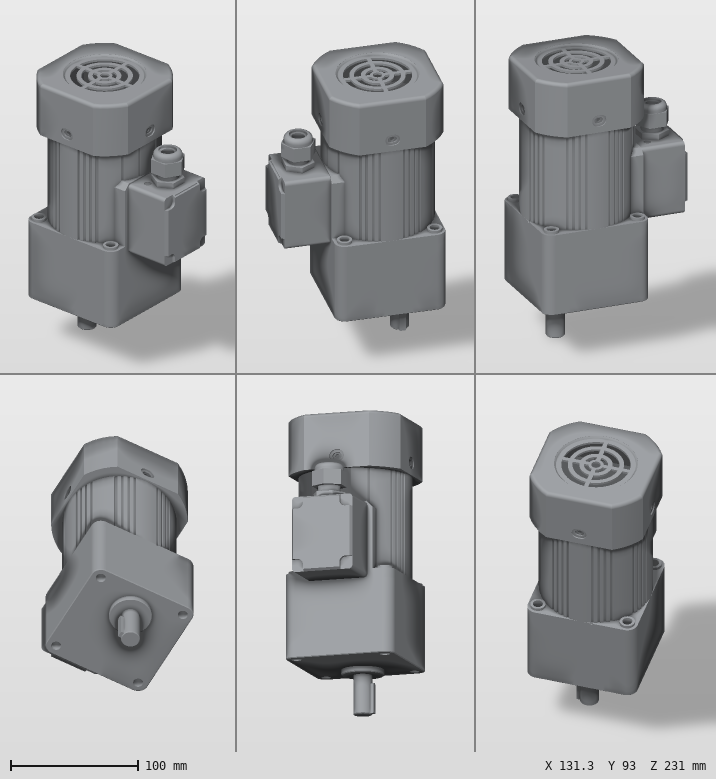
import cadquery as cq
import math


gearbox_top = 60.0
flange_top = 68.0
cover_bottom = 150.0
cover_top = 195.0

frame_width = 90.0
frame_corner = 8.3
mounting_edge = 0.7
bolt_offset = frame_width / 2 - frame_corner
bolt_hole_diameter = 7.9
collar_diameter = 12.0
collar_height = 2.3
motor_radius = frame_width / 2
groove_width = 2.0
groove_depth = 1.2
groove_clusters = 8
grooves_per_cluster = 4
groove_step = 6.4
plain_angles = (16, 30)
drain_y = -9.7
drain_radius = 1.2
drain_length = 1.5
saddle_half_width = 29.0
saddle_top = 122.2
saddle_chamfer = 4.9

shaft_x = -18.0
boss_diameter = 34.0
boss_height = 4.5
shaft_diameter = 15.0
shaft_end = -36.0
shaft_chamfer = 0.7
key_width = 5.0
key_length = 25.2
key_reach = 9.7

cover_width = 93.0
cover_corner_radius = 53.8
cover_edge_fillet = 3.0
cover_wall = 3.7
cavity_floor = 160.0
dish_radius = 33.0
dish_depth = 1.6
dish_bevel = 1.5
grille_thickness = 1.8
grille_rings = [(6.0, 9.5), (13.2, 18.5), (22.2, 27.3)]
grille_bar_width = 3.5
hub_hole_diameter = 7.5

seat_z = 159.9
seat_length = 12.0
seat_height = 9.5
seat_depth = 1.2
screw_slot_length = 7.5
screw_slot_height = 5.0
screw_slot_depth = 1.2
screw_hole_diameter = 3.2
screw_hole_depth = 1.2

box_start = motor_radius
box_length = 37.0
box_width = 50.1
box_bottom = 60.8
box_top = 121.0
box_fillet = 3.0
lid_thickness = 2.8
lid_slope = 1.6
lid_notch = 10.0
lid_notch_radius = 4.6
pry_groove_length = 27.0
pry_groove_width = 0.7
pry_groove_depth = 0.7
plug_x = 55.0
plug_y = -13.2
plug_diameter = 6.0
plug_depth = 0.7

gland_x = 64.7
base_nut_flats = 23.0
base_nut_height = 4.9
neck_diameter = 18.0
neck_height = 5.3
nut_flats = 24.3
nut_height = 12.0
dome_diameter = 23.0
dome_height = 6.2
dome_fillet = 4.0
bore_diameter = 10.6
bore_mouth = 2.0
bore_depth = 7.0


def cylinder(diameter, bottom, height, x=0.0, y=0.0):
    return cq.Workplane("XY", origin=(x, y, bottom)).circle(diameter / 2).extrude(height)


def rounded_frame(bottom, top):
    """Square block with round corners shared by the gearbox and the flange."""
    block = cq.Workplane("XY", origin=(0, 0, bottom)).rect(frame_width, frame_width).extrude(top - bottom)
    return block.edges("|Z").fillet(frame_corner)


def bolt_pattern(diameter, bottom, height):
    pattern = cq.Workplane("XY", origin=(0, 0, bottom))
    pattern = pattern.rect(2 * bolt_offset, 2 * bolt_offset, forConstruction=True).vertices()
    return pattern.circle(diameter / 2).extrude(height)


def make_gearbox():
    gearbox = rounded_frame(0, gearbox_top).faces("<Z").edges().chamfer(mounting_edge)
    boss = cylinder(boss_diameter, -boss_height, boss_height, shaft_x)
    boss = boss.faces("<Z").edges().chamfer(mounting_edge)
    return gearbox.union(boss).cut(bolt_pattern(bolt_hole_diameter, 0, gearbox_top))


def make_shaft():
    """Output shaft, with a round-ended key on its +Y side."""
    shaft = cylinder(shaft_diameter, shaft_end, -boss_height - shaft_end, shaft_x)
    shaft = shaft.faces("<Z").edges().chamfer(shaft_chamfer)
    key = (
        cq.Workplane("XZ", origin=(shaft_x, key_reach, shaft_end))
        .moveTo(-key_width / 2, shaft_chamfer)
        .lineTo(key_width / 2, shaft_chamfer)
        .lineTo(key_width / 2, key_length - key_width / 2)
        .threePointArc((0, key_length), (-key_width / 2, key_length - key_width / 2))
        .close()
        .extrude(key_reach)
    )
    return shaft.union(key)


def make_motor_tube():
    """Motor tube with clusters of narrow cooling grooves along it."""
    height = cover_bottom - flange_top
    tube = cylinder(2 * motor_radius, flange_top, height)
    groove = cq.Workplane("XY", origin=(0, 0, flange_top)).center(motor_radius, 0)
    groove = groove.rect(2 * groove_depth, groove_width).extrude(height)
    cluster_pitch = 360 / groove_clusters
    for cluster in range(groove_clusters):
        for index in range(grooves_per_cluster):
            from_middle = (index - (grooves_per_cluster - 1) / 2) * groove_step
            angle = (cluster + 0.5) * cluster_pitch + from_middle
            from_plus_x = min(angle, 360 - angle)
            if plain_angles[0] < from_plus_x < plain_angles[1]:
                continue
            tube = tube.cut(groove.rotate((0, 0, 0), (0, 0, 1), angle))
    return tube


def make_saddle():
    """Seat on the +X side of the motor tube that carries the terminal box."""
    saddle = cq.Workplane("XY").box(
        motor_radius, 2 * saddle_half_width, saddle_top - flange_top, centered=(False, True, False)
    )
    saddle = saddle.translate((0, 0, flange_top))
    return saddle.faces(">Z").edges("|X").chamfer(saddle_chamfer)


def make_motor():
    motor = rounded_frame(gearbox_top, flange_top).union(make_motor_tube()).union(make_saddle())
    motor = motor.union(bolt_pattern(collar_diameter, flange_top, collar_height))
    holes = bolt_pattern(bolt_hole_diameter, gearbox_top, flange_top - gearbox_top + collar_height)
    drain = cq.Workplane("YZ", origin=(-frame_width / 2, drain_y, flange_top))
    drain = drain.circle(drain_radius).extrude(drain_length)
    return motor.cut(holes).cut(drain)


def octagonal_prism(inset, bottom, top):
    """Square prism whose corners are cut by a large circle about the motor axis."""
    width = cover_width - 2 * inset
    square = cq.Workplane("XY", origin=(0, 0, bottom)).rect(width, width).extrude(top - bottom)
    return square.intersect(cylinder(2 * (cover_corner_radius - inset), bottom, top - bottom))


def make_grille_openings(bottom, height):
    openings = cylinder(hub_hole_diameter, bottom, height)
    for inner, outer in grille_rings:
        ring = cylinder(2 * outer, bottom, height).cut(cylinder(2 * inner, bottom, height))
        openings = openings.union(ring)
    length = 2 * dish_radius
    cross = cq.Workplane("XY", origin=(0, 0, bottom)).rect(length, grille_bar_width).extrude(height)
    cross = cross.union(cross.rotate((0, 0, 0), (0, 0, 1), 90))
    cross = cross.cut(cylinder(hub_hole_diameter, bottom, height))
    return openings.cut(cross)


def make_screw_seat():
    """Oblong seat with a screw slot and a round hole in its floor, cut into the -Y face of the cover."""
    face = cq.Workplane("XZ", origin=(0, -cover_width / 2, seat_z))
    seat = face.slot2D(seat_length, seat_height).extrude(-seat_depth)
    slot_bottom = seat_depth + screw_slot_depth
    slot = face.slot2D(screw_slot_length, screw_slot_height).extrude(-slot_bottom)
    hole = face.circle(screw_hole_diameter / 2).extrude(-slot_bottom - screw_hole_depth)
    return seat.union(slot).union(hole)


def make_cover():
    grille_top = cover_top - dish_depth
    grille_bottom = grille_top - grille_thickness
    cover = octagonal_prism(0, cover_bottom, cover_top).faces(">Z").edges().fillet(cover_edge_fillet)
    cover = cover.cut(octagonal_prism(cover_wall, cavity_floor, grille_bottom))
    dish = cylinder(2 * dish_radius, grille_top, dish_depth).faces("<Z").edges().chamfer(dish_bevel)
    cover = cover.cut(dish).cut(make_grille_openings(grille_bottom, grille_thickness))
    seat = make_screw_seat()
    for side in range(4):
        cover = cover.cut(seat.rotate((0, 0, 0), (0, 0, 1), 90 * side))
    return cover


def make_lid():
    """Lid with sloping edges, a round-cornered notch at each corner and a thin groove along the top."""
    height = box_top - box_bottom
    slope_angle = math.degrees(math.atan(lid_slope / lid_thickness))
    face = cq.Workplane("YZ", origin=(box_start + box_length, 0, (box_bottom + box_top) / 2))
    lid = face.rect(box_width, height).extrude(lid_thickness, taper=slope_angle)
    notches = face.rect(box_width, height, forConstruction=True).vertices().rect(2 * lid_notch, 2 * lid_notch)
    notches = notches.extrude(lid_thickness).edges("|X").fillet(lid_notch_radius)
    groove_top = box_top - lid_slope / 2
    groove = cq.Workplane("XY", origin=(box_start + box_length + lid_thickness / 2, 0, groove_top))
    groove = groove.rect(pry_groove_width, pry_groove_length).extrude(pry_groove_depth, both=True)
    return lid.cut(notches).cut(groove)


def make_terminal_box():
    height = box_top - box_bottom
    box = cq.Workplane("YZ", origin=(box_start, 0, (box_bottom + box_top) / 2)).rect(box_width, height)
    box = box.extrude(box_length).edges("|X").fillet(box_fillet)
    plug_seat = cylinder(plug_diameter, box_top - plug_depth, plug_depth, plug_x, plug_y)
    return box.union(make_lid()).cut(plug_seat)


def hexagon(flats, bottom, height, turn):
    """Hexagonal prism; with no turn two of its corners lie along X."""
    prism = cq.Workplane("XY").polygon(6, flats / math.cos(math.pi / 6)).extrude(height)
    return prism.rotate((0, 0, 0), (0, 0, 1), turn).translate((gland_x, 0, bottom))


def make_gland():
    neck_bottom = box_top + base_nut_height
    nut_bottom = neck_bottom + neck_height
    dome_bottom = nut_bottom + nut_height
    gland_top = dome_bottom + dome_height
    dome = cylinder(dome_diameter, dome_bottom, dome_height, gland_x).faces(">Z").edges().fillet(dome_fillet)
    gland = (
        hexagon(base_nut_flats, box_top, base_nut_height, 30)
        .union(cylinder(neck_diameter, neck_bottom, neck_height, gland_x))
        .union(hexagon(nut_flats, nut_bottom, nut_height, 0))
        .union(dome)
    )
    bore = cylinder(bore_diameter, gland_top - bore_depth, bore_depth, gland_x)
    mouth = cylinder(bore_diameter + 2 * bore_mouth, gland_top - bore_mouth, bore_mouth, gland_x)
    return gland.cut(bore).cut(mouth)


gearbox = make_gearbox()
shaft = make_shaft()
motor = make_motor()
cover = make_cover()
terminal_box = make_terminal_box()
gland = make_gland()

result = cq.Compound.makeCompound(
    [gearbox.val(), shaft.val(), motor.val(), cover.val(), terminal_box.val(), gland.val()]
)